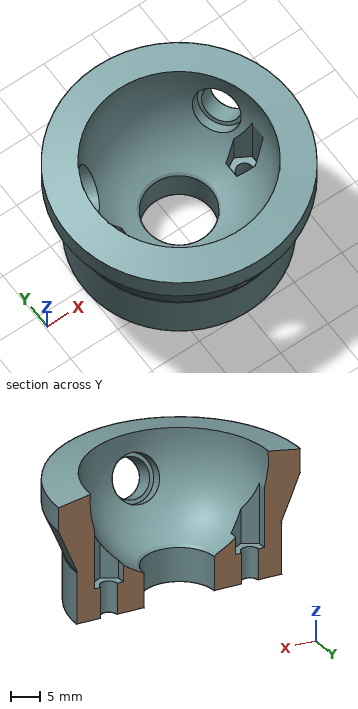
import cadquery as cq
import math

flange_radius = 23.7
neck_radius = 20.1
total_height = 24.3
neck_height = 9.85
neck_bevel_height = 0.2
neck_bevel_width = 0.1
band_bottom = 18.68
band_top = 23.23

rim_radius = 17.35
bowl_center_depth = 1.5
bowl_center_z = total_height - bowl_center_depth
bowl_radius = math.hypot(rim_radius, bowl_center_depth)
bore_radius = 6.83
bore_chamfer = 0.45
mouth_radius = bore_radius + bore_chamfer
bowl_floor_z = bowl_center_z - math.sqrt(bowl_radius**2 - mouth_radius**2)

radial_angles = (30, 150, 270)
radial_tilt = 22.5
radial_hole_diameter = 7.55
radial_seat_diameter = 9.05
seat_floor_distance = 19.1

screw_offset = 13.8
screw_diameter = 3.2
nut_flats = 5.55
nut_floor_z = 6.0


def make_body():
    """Revolve the flanged wall around the chamfered bore and the spherical bowl."""
    arc_angle = math.radians(45)
    arc_middle = (
        bowl_radius * math.cos(arc_angle),
        bowl_center_z - bowl_radius * math.sin(arc_angle),
    )
    profile = (
        cq.Workplane("XZ")
        .moveTo(bore_radius, 0)
        .lineTo(neck_radius, 0)
        .lineTo(neck_radius, neck_height)
        .lineTo(neck_radius - neck_bevel_width, neck_height + neck_bevel_height)
        .lineTo(flange_radius, band_bottom)
        .lineTo(flange_radius, band_top)
        .lineTo(rim_radius, total_height)
        .threePointArc(arc_middle, (mouth_radius, bowl_floor_z))
        .lineTo(bore_radius, bowl_floor_z - bore_chamfer)
        .close()
    )
    return profile.revolve(360, (0, 0), (0, 1))


def radial_hole(angle):
    """Through hole with a wider seat on the bowl side, sloping down outwards."""
    tilt = math.radians(radial_tilt)
    turn = math.radians(angle)
    axis = cq.Vector(
        math.cos(tilt) * math.cos(turn),
        math.cos(tilt) * math.sin(turn),
        -math.sin(tilt),
    )
    center = cq.Vector(0, 0, bowl_center_z)
    plane = cq.Plane(origin=center, normal=axis)
    through = cq.Workplane(plane).circle(radial_hole_diameter / 2).extrude(2 * flange_radius)
    seat = cq.Workplane(plane).circle(radial_seat_diameter / 2).extrude(seat_floor_distance)
    return through.union(seat)


def nut_pocket(x):
    """Hexagonal pocket open to the bowl, above a screw hole through the base."""
    nut_corners = nut_flats / math.cos(math.pi / 6)
    pocket = (
        cq.Workplane("XY", origin=(x, 0, nut_floor_z))
        .transformed(rotate=(0, 0, 90))
        .polygon(6, nut_corners)
        .extrude(bowl_center_z - nut_floor_z)
    )
    screw = cq.Workplane("XY", origin=(x, 0, 0)).circle(screw_diameter / 2).extrude(nut_floor_z)
    return pocket.union(screw)


result = make_body()
for hole_angle in radial_angles:
    result = result.cut(radial_hole(hole_angle))
for side in (-1, 1):
    result = result.cut(nut_pocket(side * screw_offset))